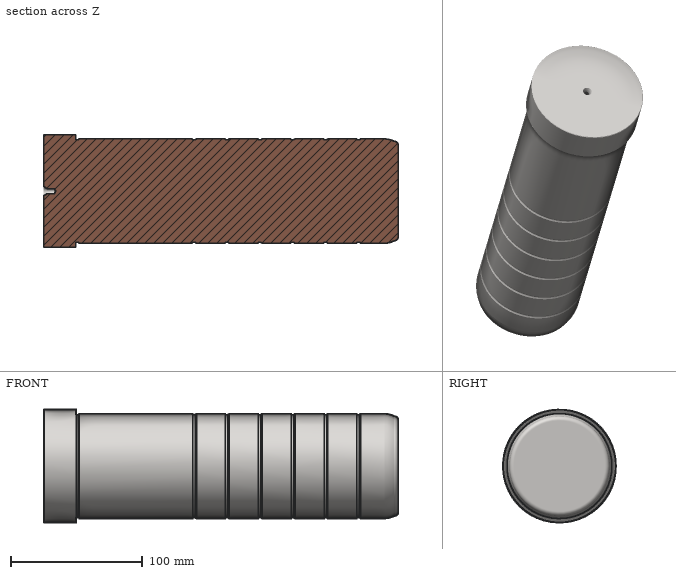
import cadquery as cq
import math

total_length = 270.0
head_diameter = 86.0
head_radius = head_diameter / 2
head_length = 24.8
head_chamfer = 0.4
shank_radius = 40.0

undercut_radius = 39.2
undercut_flat = 1.5
undercut_runout = 0.8

groove_count = 6
first_groove_start = 113.5
last_groove_start = 238.5
groove_pitch = (last_groove_start - first_groove_start) / (groove_count - 1)
groove_flat = 2.0
groove_runout = 1.0
groove_depth = 0.8

taper_start = 259.5
taper_middle_radius = 39.5
nose_start = 266.8
nose_radius = 38.0
end_face_radius = 34.5

countersink_diameter = 6.8
countersink_radius = countersink_diameter / 2
pilot_diameter = 3.5
pilot_radius = pilot_diameter / 2
countersink_angle = 60
pilot_depth = 8.0
drill_point_angle = 120


def make_body():
    """Revolve the half outline of head, undercut, shank and lead-in."""
    undercut_end = head_length + undercut_flat
    taper_middle = ((taper_start + nose_start) / 2, taper_middle_radius)
    nose_length = total_length - nose_start
    nose_drop = nose_radius - end_face_radius
    half_root = 0.5 ** 0.5
    nose_middle = (
        nose_start + nose_length * half_root,
        end_face_radius + nose_drop * half_root,
    )
    return (
        cq.Workplane("XY")
        .lineTo(0, head_radius - head_chamfer)
        .lineTo(head_chamfer, head_radius)
        .lineTo(head_length, head_radius)
        .lineTo(head_length, undercut_radius)
        .lineTo(undercut_end, undercut_radius)
        .lineTo(undercut_end + undercut_runout, shank_radius)
        .lineTo(taper_start, shank_radius)
        .threePointArc(taper_middle, (nose_start, nose_radius))
        .threePointArc(nose_middle, (total_length, end_face_radius))
        .lineTo(total_length, 0)
        .close()
        .revolve(360, (0, 0, 0), (1, 0, 0))
    )


def make_groove(start):
    """Ring of material removed by one flat-bottomed oil groove with a conical run-out."""
    flat_end = start + groove_flat
    groove_end = flat_end + groove_runout
    return (
        cq.Workplane("XY")
        .moveTo(start, head_radius)
        .lineTo(start, shank_radius - groove_depth)
        .lineTo(flat_end, shank_radius - groove_depth)
        .lineTo(groove_end, shank_radius)
        .lineTo(groove_end, head_radius)
        .close()
        .revolve(360, (0, 0, 0), (1, 0, 0))
    )


def make_center_hole():
    """Revolve the half outline of the center hole."""
    countersink_slope = math.tan(math.radians(countersink_angle / 2))
    countersink_depth = (countersink_radius - pilot_radius) / countersink_slope
    point_length = pilot_radius / math.tan(math.radians(drill_point_angle / 2))
    return (
        cq.Workplane("XY")
        .lineTo(0, countersink_radius)
        .lineTo(countersink_depth, pilot_radius)
        .lineTo(pilot_depth, pilot_radius)
        .lineTo(pilot_depth + point_length, 0)
        .close()
        .revolve(360, (0, 0, 0), (1, 0, 0))
    )


result = make_body().cut(make_center_hole())
for index in range(groove_count):
    result = result.cut(make_groove(first_groove_start + index * groove_pitch))